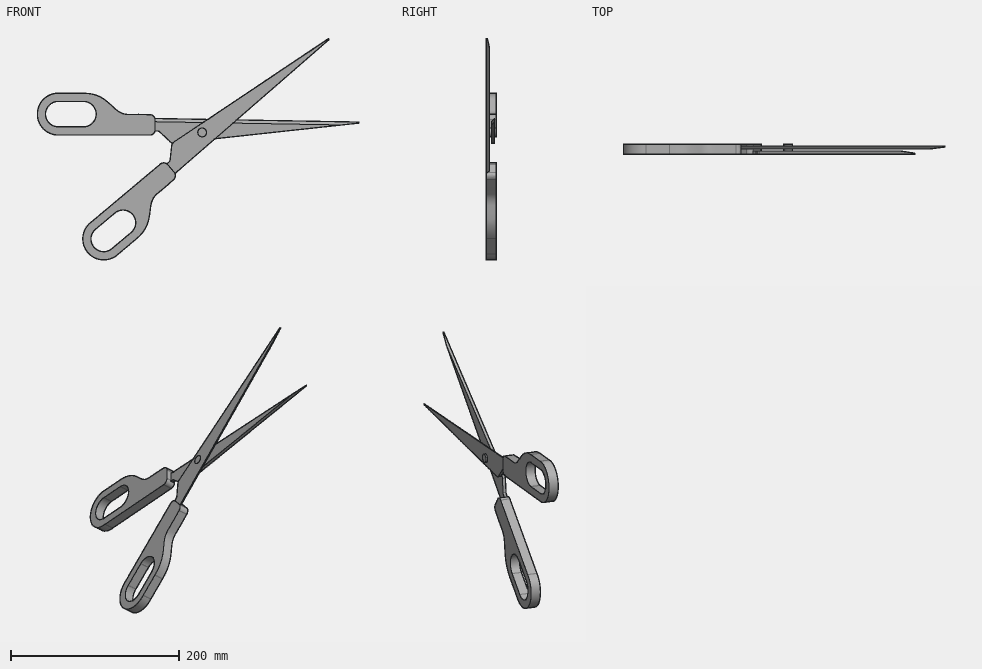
import cadquery as cq
import math


overall_thickness = 12.1
blade_thickness = 4.0
rear_blade_setback = 2.0
front_face_y = -overall_thickness / 2
rear_face_y = overall_thickness / 2
front_blade_setback = 0.1

pin_diameter = 10.5
opening_angle = 40.0

loop_height = 50.0
loop_left_x = -196.2
loop_arc_depth = 27.2
handle_bottom_z = -3.2
loop_center_z = handle_bottom_z + loop_height / 2
finger_hole_radius = 15.0
finger_hole_straight = 30.0
finger_hole_wall = 10.0
shoulder_start_x = -141.0
shoulder_point = (-117.0, 39.9)
waist_point = (-105.0, 29.6)
valley_point = (-94.5, 22.5)
grip_point = (-80.0, 21.6)
handle_end_x = -56.0
handle_end_z = 21.2
handle_corner_radius = 6.0

blade_back_slope = 1.0
blade_tip_x = 186.87
blade_tip_height = 1.5
blade_back_z = 16.75
bevel_height = 4.0
neck_z = 1.6
neck_end_x = -51.5
heel_x = -36.0
heel_z = -13.2
neck_radius = 4.0
heel_radius = 5.0
tang_length = 5.0


def extrude_between(outline, y_start, y_end):
    """Extrude a closed XZ outline from y_start to y_end."""
    return outline.extrude(-(y_end - y_start)).translate((0, y_start, 0))


def make_handle():
    """Grip with a finger loop; a smooth curve joins the loop's top edge to the grip."""
    loop_start_x = loop_left_x + loop_arc_depth
    loop_top_z = handle_bottom_z + loop_height
    outline = (
        cq.Workplane("XZ")
        .moveTo(loop_start_x, loop_top_z)
        .lineTo(shoulder_start_x, loop_top_z)
        .spline(
            [shoulder_point, waist_point, valley_point, grip_point, (handle_end_x, handle_end_z)],
            tangents=[(1, 0), (1, 0)],
            includeCurrent=True,
        )
        .lineTo(handle_end_x, handle_bottom_z)
        .lineTo(loop_start_x, handle_bottom_z)
        .threePointArc((loop_left_x, loop_center_z), (loop_start_x, loop_top_z))
        .close()
    )
    handle = extrude_between(outline, front_face_y, rear_face_y)
    handle = handle.edges("|Y and >X").fillet(handle_corner_radius)

    hole_length = finger_hole_straight + 2 * finger_hole_radius
    hole_center_x = loop_left_x + finger_hole_wall + hole_length / 2
    finger_hole = extrude_between(
        cq.Workplane("XZ").center(hole_center_x, loop_center_z).slot2D(hole_length, 2 * finger_hole_radius),
        front_face_y,
        rear_face_y,
    )
    return handle.cut(finger_hole)


def make_blade(flat_y, bevel_y):
    """Tapered blade between the faces at flat_y and bevel_y.

    Its upper edge is sharp at flat_y and bevelled down to the bevel_y face.
    """
    fall = math.tan(math.radians(blade_back_slope))
    middle_y = (flat_y + bevel_y) / 2
    tang_x = handle_end_x - tang_length
    tang_back_z = blade_back_z + fall * tang_length
    tip_back_z = blade_back_z - fall * (blade_tip_x - handle_end_x)

    blade = extrude_between(
        cq.Workplane("XZ").polyline(
            [
                (tang_x, tang_back_z),
                (blade_tip_x, tip_back_z),
                (blade_tip_x, tip_back_z - blade_tip_height),
                (heel_x, heel_z),
                (neck_end_x, neck_z),
                (tang_x, neck_z),
            ]
        ).close(),
        min(flat_y, bevel_y),
        max(flat_y, bevel_y),
    )
    heel_edge = cq.selectors.NearestToPointSelector((heel_x, middle_y, heel_z))
    blade = blade.edges("|Y").edges(heel_edge).fillet(heel_radius)
    neck_edge = cq.selectors.NearestToPointSelector((neck_end_x, middle_y, neck_z))
    blade = blade.edges("|Y").edges(neck_edge).fillet(neck_radius)

    bevel = (
        cq.Workplane("YZ", origin=(tang_x, 0, 0))
        .polyline([(flat_y, tang_back_z), (bevel_y, tang_back_z), (bevel_y, tang_back_z - bevel_height)])
        .close()
        .sweep(cq.Workplane("XZ").moveTo(tang_x, tang_back_z).lineTo(blade_tip_x, tip_back_z))
    )
    return blade.cut(bevel)


def make_pin():
    """Plain pivot pin, as long as the handles are thick."""
    return extrude_between(cq.Workplane("XZ").circle(pin_diameter / 2), front_face_y, rear_face_y)


def make_half(flat_y, bevel_y):
    """Handle and blade in one piece, with a hole for the pivot pin."""
    return make_handle().union(make_blade(flat_y, bevel_y)).cut(make_pin())


rear_blade_back_y = rear_face_y - rear_blade_setback
upper_half = make_half(rear_blade_back_y, rear_blade_back_y - blade_thickness)

front_blade_front_y = front_face_y + front_blade_setback
lower_half = (
    make_half(front_blade_front_y, front_blade_front_y + blade_thickness)
    .mirror("XY")
    .rotate((0, 0, 0), (0, 1, 0), -opening_angle)
)

pivot_pin = make_pin()

result = cq.Compound.makeCompound([upper_half.val(), lower_half.val(), pivot_pin.val()])